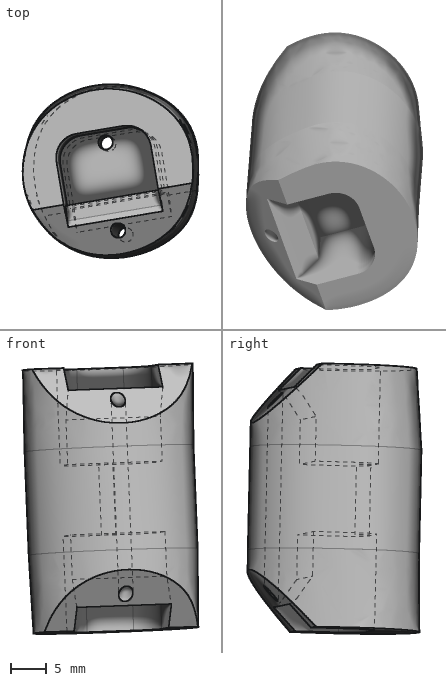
import cadquery as cq
import math

length = 36.7
yaw = 9.5
lean_x = 2.3
lean_y = 1.3

top_section = (23.87, 22.95, 1.01, 0.38, -0.45)
middle_section = (23.7, 23.87, 1.03, 0.23, 0.05)
bottom_section = (23.1, 24.1, 1.03, 0.23, 0.23)
outline_points = 8

straight_top = 7.03
straight_bottom = -7.4

chamfer_start = -4.05
chamfer_angle = 46.0

web = 9.82
pocket_x = 0.2
pocket_half_width = 6.7
pocket_back = 5.45
pocket_front = -4.0
pocket_corner_radius = 3.4
lip_edge = -7.15
ramp_top = -6.2
ramp_top_z = 14.35
ramp_foot_z = 11.15

hole_diameter = 2.0
hole_x = 0.23
web_hole_y = 3.95
front_hole_y = -8.7

half_length = length / 2
reach = 18.9


def section_wire(section, z):
    width, depth, bulge, x, y = section
    points = []
    for step in range(outline_points):
        angle = 2 * math.pi * step / outline_points
        on_diagonal = step % 2 == 1
        stretch = bulge if on_diagonal else 1.0
        point_x = stretch * width / 2 * math.cos(angle)
        point_y = stretch * depth / 2 * math.sin(angle)
        points.append((point_x, point_y))
    return cq.Workplane("XY", origin=(x, y, z)).spline(points, periodic=True).consolidateWires().val()


def band(lower, lower_z, upper, upper_z):
    wires = [section_wire(lower, lower_z), section_wire(upper, upper_z)]
    return cq.Workplane(cq.Solid.makeLoft(wires, True))


def chamfer_z(y):
    """Height of the upper chamfer face at a given y."""
    return half_length - (chamfer_start - y) * math.tan(math.radians(chamfer_angle))


def side_profile(points, half_width):
    return cq.Workplane("YZ", origin=(-half_width, 0, 0)).polyline(points).close().extrude(2 * half_width)


def end_chamfer():
    points = [(chamfer_start, half_length), (-reach, chamfer_z(-reach)), (-reach, half_length)]
    return side_profile(points, reach)


def pocket():
    points = [
        (pocket_back, web / 2),
        (pocket_front, web / 2),
        (pocket_front, ramp_foot_z),
        (ramp_top, ramp_top_z),
        (lip_edge, chamfer_z(lip_edge)),
        (lip_edge, half_length),
        (pocket_back, half_length),
    ]
    block = side_profile(points, pocket_half_width)
    return block.edges("|Z and >Y").fillet(pocket_corner_radius).translate((pocket_x, 0, 0))


def through_holes():
    plane = cq.Workplane("XY", origin=(0, 0, -half_length))
    centres = [(hole_x, web_hole_y), (hole_x, front_hole_y)]
    return plane.pushPoints(centres).circle(hole_diameter / 2).extrude(length)


body = (
    band(bottom_section, -half_length, middle_section, straight_bottom)
    .union(band(middle_section, straight_bottom, middle_section, straight_top))
    .union(band(middle_section, straight_top, top_section, half_length))
)

for end_cut in (end_chamfer(), pocket()):
    body = body.cut(end_cut).cut(end_cut.mirror("XY"))

body = body.cut(through_holes())

centre = (0, 0, 0)
result = (
    body.rotate(centre, (0, 0, 1), yaw)
    .rotate(centre, (0, 1, 0), -lean_x)
    .rotate(centre, (1, 0, 0), -lean_y)
)